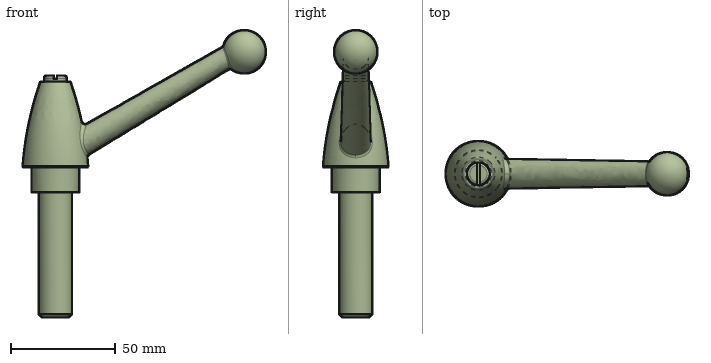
import cadquery as cq
import math

shank_bottom = 0.0
collar_bottom = 59.9
hub_bottom = 72.0
hub_top = 113.2
screw_top = 116.2

shank_diameter = 16.0
shank_chamfer = 1.7
collar_diameter = 23.0
collar_chamfer = 0.4
hub_base_diameter = 31.6
hub_base_radius = hub_base_diameter / 2
hub_rim_height = 0.7
hub_rim_chamfer = 0.4
hub_middle_radius = 12.7
hub_middle_height = 22.0
hub_top_radius = 7.3
hub_top_fillet = 0.5
screw_diameter = 11.0
screw_fillet = 1.4
slot_width = 1.4
slot_depth = 1.5

arm_angle = 30.4
arm_root_x = 15.9
arm_root_z = 85.8
arm_length = 78.7
arm_buried_length = 9.7
arm_root_width = 14.4
arm_root_thickness = 13.4
arm_end_width = 12.0
arm_end_thickness = 10.9
arm_fillet = 1.7
neck_fillet = 0.8

ball_radius = 10.5
overall_length = 116.9
overall_height = 138.0
ball_x = overall_length - hub_base_radius - ball_radius
ball_z = overall_height - ball_radius


def make_cylinder(diameter, bottom, top):
    return cq.Workplane("XY").workplane(offset=bottom).circle(diameter / 2).extrude(top - bottom)


def make_hub():
    """Bullet-shaped hub with a convex flank above a narrow bevelled rim."""
    rim_top = hub_bottom + hub_rim_height
    return (
        cq.Workplane("XZ")
        .moveTo(0, hub_bottom)
        .lineTo(hub_base_radius - hub_rim_chamfer, hub_bottom)
        .lineTo(hub_base_radius, rim_top)
        .threePointArc((hub_middle_radius, hub_bottom + hub_middle_height), (hub_top_radius, hub_top))
        .lineTo(0, hub_top)
        .close()
        .revolve(360, (0, 0, 0), (0, 1, 0))
        .faces(">Z")
        .edges()
        .fillet(hub_top_fillet)
    )


def make_arm():
    """Tapered oval bar, starting inside the hub and ending inside the ball."""
    angle = math.radians(arm_angle)
    direction = cq.Vector(math.cos(angle), 0, math.sin(angle))
    taper_share = arm_buried_length / arm_length
    start_width = arm_root_width + taper_share * (arm_root_width - arm_end_width)
    start_thickness = arm_root_thickness + taper_share * (arm_root_thickness - arm_end_thickness)
    start = cq.Vector(arm_root_x, 0, arm_root_z) - direction * arm_buried_length
    plane = cq.Plane(origin=start, xDir=(0, 1, 0), normal=direction)
    return (
        cq.Workplane(plane)
        .ellipse(start_width / 2, start_thickness / 2)
        .workplane(offset=arm_buried_length + arm_length)
        .ellipse(arm_end_width / 2, arm_end_thickness / 2)
        .loft(ruled=True)
    )


def edge_near(point):
    """Selector for the single edge whose centre lies closest to the point."""
    return cq.selectors.NearestToPointSelector(point)


def make_screw():
    """Slotted screw end standing out of the hub; the slot runs along Y."""
    screw = make_cylinder(screw_diameter, hub_bottom, screw_top).faces(">Z").edges().fillet(screw_fillet)
    slot = (
        cq.Workplane("XY")
        .workplane(offset=screw_top - slot_depth)
        .rect(slot_width, screw_diameter)
        .extrude(slot_depth)
    )
    return screw.cut(slot)


shank = make_cylinder(shank_diameter, shank_bottom, hub_bottom).faces("<Z").edges().chamfer(shank_chamfer)
collar = make_cylinder(collar_diameter, collar_bottom, hub_bottom).faces("<Z").edges().chamfer(collar_chamfer)
ball = cq.Workplane("XY").sphere(ball_radius).translate((ball_x, 0, ball_z))

lever = make_hub().union(make_arm())
lever = lever.edges(edge_near((hub_middle_radius, 0, arm_root_z))).fillet(arm_fillet)
lever = lever.union(ball)
lever = lever.edges(edge_near((ball_x - ball_radius, 0, ball_z))).fillet(neck_fillet)

result = lever.union(collar).union(shank).union(make_screw())